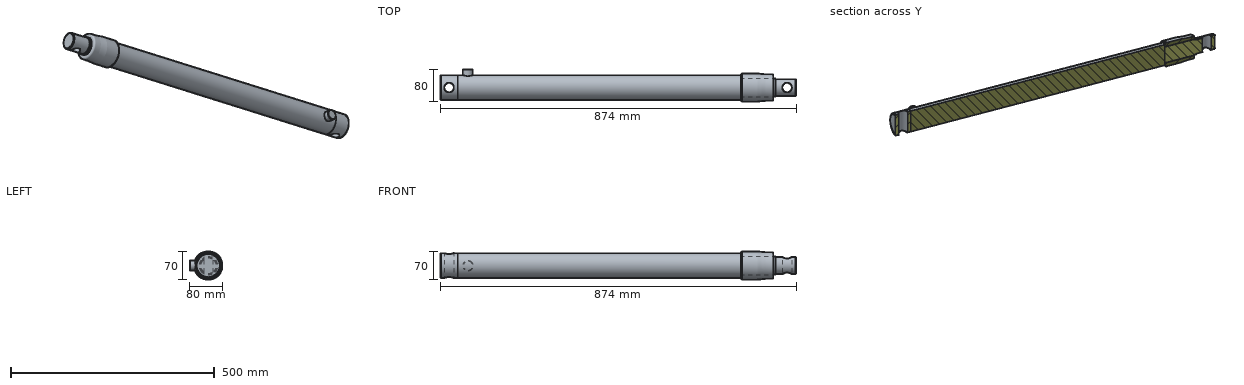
import cadquery as cq

overall_length = 874
barrel_diameter = 61.5
pin_hole_diameter = 23

cap_length = 43
cap_chamfer = 2.5
cap_hole_x = 22

collar_diameter = 70
collar_chamfer = 3
nose_diameter = 66
nose_fillet = 4
head_start = 738
collar_end = 779
taper_end = 798
nose_end = 818

rod_diameter = 45
eye_diameter = 42
shoulder_start = 822
shoulder_end = 824
eye_chamfer = 2
eye_hole_x = overall_length - 22.5

port_x = 68
port_diameter = 25
port_chamfer = 1
port_reach = 45


def bar_along_x(start, end, diameter):
    """Round bar on the cylinder axis."""
    return cq.Workplane("YZ", origin=(start, 0, 0)).circle(diameter / 2).extrude(end - start)


def pin_hole(x):
    """Cross hole cutter along Z for a mounting pin."""
    cutter = cq.Workplane("XY", origin=(x, 0, 0)).circle(pin_hole_diameter / 2)
    return cutter.extrude(barrel_diameter, both=True)


def make_cap():
    cap = bar_along_x(0, cap_length, barrel_diameter)
    return cap.faces("<X").chamfer(cap_chamfer).cut(pin_hole(cap_hole_x))


def make_barrel():
    return bar_along_x(cap_length, head_start, barrel_diameter)


def make_head():
    collar_radius = collar_diameter / 2
    nose_radius = nose_diameter / 2
    fillet_mid = nose_fillet * (1 - 0.5 ** 0.5)
    outline = (
        cq.Workplane("XZ")
        .moveTo(head_start, rod_diameter / 2)
        .lineTo(head_start, collar_radius - collar_chamfer)
        .lineTo(head_start + collar_chamfer, collar_radius)
        .lineTo(collar_end, collar_radius)
        .lineTo(taper_end, nose_radius)
        .lineTo(nose_end - nose_fillet, nose_radius)
        .threePointArc(
            (nose_end - fillet_mid, nose_radius - fillet_mid),
            (nose_end, nose_radius - nose_fillet),
        )
        .lineTo(nose_end, rod_diameter / 2)
        .close()
    )
    return outline.revolve(360, (0, 0, 0), (1, 0, 0))


def make_rod():
    rod_radius = rod_diameter / 2
    eye_radius = eye_diameter / 2
    outline = [
        (head_start, 0),
        (head_start, rod_radius),
        (shoulder_start, rod_radius),
        (shoulder_end, eye_radius),
        (overall_length - eye_chamfer, eye_radius),
        (overall_length, eye_radius - eye_chamfer),
        (overall_length, 0),
    ]
    rod = cq.Workplane("XZ").polyline(outline).close().revolve(360, (0, 0, 0), (1, 0, 0))
    return rod.cut(pin_hole(eye_hole_x))


def make_port(barrel):
    boss = cq.Workplane("XZ", origin=(port_x, 0, 0)).circle(port_diameter / 2).extrude(-port_reach)
    return boss.faces(">Y").chamfer(port_chamfer).cut(barrel)


cap = make_cap()
barrel = make_barrel()
head = make_head()
rod = make_rod()
port = make_port(barrel)

result = cq.Compound.makeCompound([cap.val(), barrel.val(), head.val(), rod.val(), port.val()])